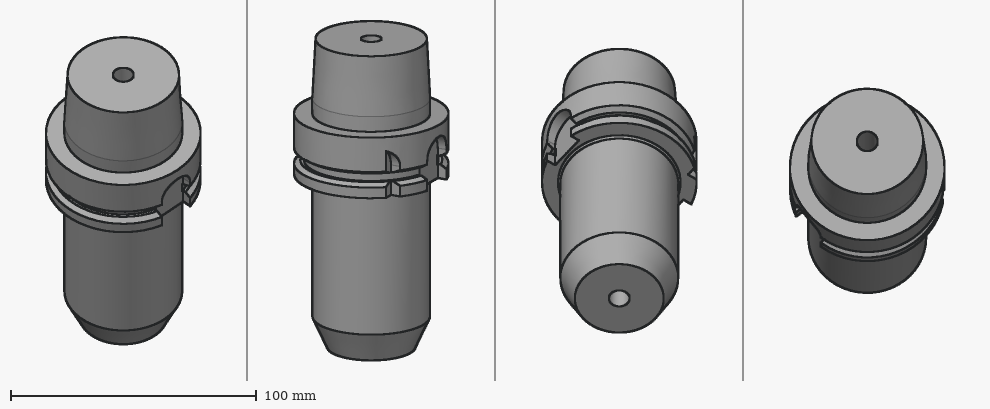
import cadquery as cq
import math

total_height = 132.0
nose_height = 13.1
flange_bottom = 74.0
flange_top = 100.0
taper_base = 106.5

nose_tip_radius = 18.1
body_radius = 24.0
taper_top_radius = 22.7
flange_diameter = 63.0
flange_radius = flange_diameter / 2
bore_radius = 4.2

step_height = 1.0
step_radius = 25.0

groove_radius = 27.5
groove_lip_radius = 28.9
groove_bottom = 80.1
groove_top = 83.8
lip_angle = 30.0
lip_height = (flange_radius - groove_lip_radius) * math.tan(math.radians(lip_angle))

slot_width = 16.2
slot_top = 95.0
drive_floor = 26.4
notch_floor = 20.0
notch_edge = 19.9


def turned_body():
    """Revolve the half section, with r along X and z along the axis."""
    section = [
        (bore_radius, 0),
        (nose_tip_radius, 0),
        (body_radius, nose_height),
        (body_radius, flange_bottom - step_height),
        (step_radius, flange_bottom),
        (flange_radius, flange_bottom),
        (flange_radius, groove_bottom - lip_height),
        (groove_lip_radius, groove_bottom),
        (groove_radius, groove_bottom),
        (groove_radius, groove_top),
        (groove_lip_radius, groove_top),
        (flange_radius, groove_top + lip_height),
        (flange_radius, flange_top),
        (body_radius, flange_top),
        (body_radius, taper_base),
        (taper_top_radius, total_height),
        (bore_radius, total_height),
    ]
    return cq.Workplane("XZ").polyline(section).close().revolve(360, (0, 0, 0), (0, 1, 0))


def slot_cutter(floor, center_y):
    """Round-topped slot open towards -X and at the flange underside."""
    half_width = slot_width / 2
    arc_center = slot_top - half_width
    return (
        cq.Workplane("YZ", origin=(-floor, 0, 0))
        .moveTo(center_y - half_width, flange_bottom)
        .lineTo(center_y - half_width, arc_center)
        .threePointArc((center_y, slot_top), (center_y + half_width, arc_center))
        .lineTo(center_y + half_width, flange_bottom)
        .close()
        .extrude(-flange_radius)
    )


result = turned_body()

for angle in (0, 180):
    drive_slot = slot_cutter(drive_floor, 0).rotate((0, 0, 0), (0, 0, 1), angle)
    result = result.cut(drive_slot)

result = result.cut(slot_cutter(notch_floor, notch_edge + slot_width / 2))